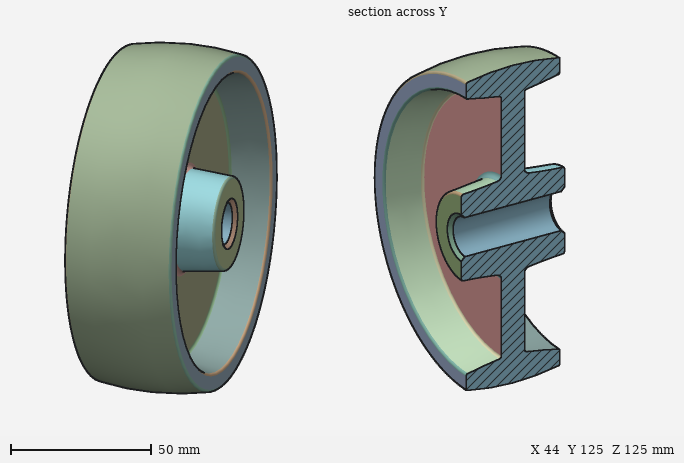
import cadquery as cq
import math


full_turn = 360.0
axis_start = (0, 0, 0)
axis_end = (1, 0, 0)

wheel_radius = 62.5
rim_width = 40.0
crown_radius = 100.0
tread_edge_fillet = 1.0

web_thickness = 10.0
recess_mouth_radius = 54.0
recess_draft = math.radians(10)
recess_mouth_fillet = 1.0
recess_floor_fillet = 1.0

hub_width = 44.0
hub_end_radius = 17.0
hub_draft = math.radians(5.5)
hub_end_fillet = 1.0
hub_root_fillet = 2.0

bore_radius = 7.6
bore_chamfer = 1.5

half_rim = rim_width / 2
half_web = web_thickness / 2
half_hub = hub_width / 2

crown_drop = crown_radius - math.sqrt(crown_radius**2 - half_rim**2)
tread_edge_radius = wheel_radius - crown_drop
recess_floor_radius = recess_mouth_radius - (half_rim - half_web) * math.tan(recess_draft)
hub_root_radius = hub_end_radius + (half_hub - half_web) * math.tan(hub_draft)


def make_blank():
    """Crowned rim, web and hub as one revolved body, with sharp edges."""
    profile = (
        cq.Workplane("XY")
        .moveTo(-half_hub, 0)
        .lineTo(-half_hub, hub_end_radius)
        .lineTo(-half_web, hub_root_radius)
        .lineTo(-half_web, recess_floor_radius)
        .lineTo(-half_rim, recess_mouth_radius)
        .lineTo(-half_rim, tread_edge_radius)
        .threePointArc((0, wheel_radius), (half_rim, tread_edge_radius))
        .lineTo(half_rim, recess_mouth_radius)
        .lineTo(half_web, recess_floor_radius)
        .lineTo(half_web, hub_root_radius)
        .lineTo(half_hub, hub_end_radius)
        .lineTo(half_hub, 0)
        .close()
    )
    return profile.revolve(full_turn, axis_start, axis_end)


def fillet_edge_pair(body, offset, edge_radius, fillet_radius):
    """Round the circular edges of the given radius at X = -offset and X = +offset."""
    tolerance = 0.01

    def is_wanted(edge):
        if edge.geomType() != "CIRCLE":
            return False
        same_radius = abs(edge.radius() - edge_radius) < tolerance
        same_offset = abs(abs(edge.Center().x) - offset) < tolerance
        return same_radius and same_offset

    edges = [edge for edge in body.edges().vals() if is_wanted(edge)]
    return body.newObject(edges).fillet(fillet_radius)


def cut_bore(body):
    """Cut the axle bore and chamfer both of its mouths."""
    mouth_radius = bore_radius + bore_chamfer
    bore_profile = (
        cq.Workplane("XY")
        .moveTo(-half_hub, 0)
        .lineTo(-half_hub, mouth_radius)
        .lineTo(-half_hub + bore_chamfer, bore_radius)
        .lineTo(half_hub - bore_chamfer, bore_radius)
        .lineTo(half_hub, mouth_radius)
        .lineTo(half_hub, 0)
        .close()
    )
    return body.cut(bore_profile.revolve(full_turn, axis_start, axis_end))


wheel = make_blank()
wheel = fillet_edge_pair(wheel, half_rim, tread_edge_radius, tread_edge_fillet)
wheel = fillet_edge_pair(wheel, half_rim, recess_mouth_radius, recess_mouth_fillet)
wheel = fillet_edge_pair(wheel, half_web, recess_floor_radius, recess_floor_fillet)
wheel = fillet_edge_pair(wheel, half_web, hub_root_radius, hub_root_fillet)
wheel = fillet_edge_pair(wheel, half_hub, hub_end_radius, hub_end_fillet)
result = cut_bore(wheel)